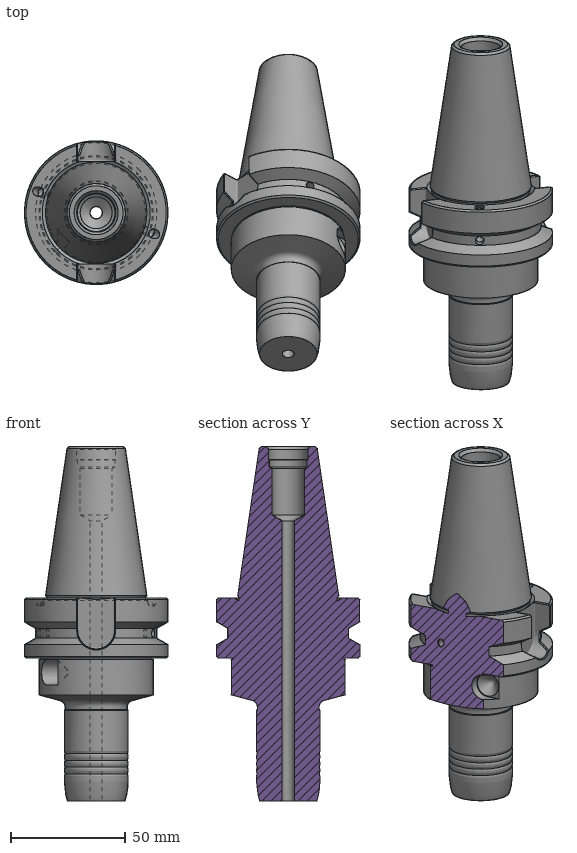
import cadquery as cq
import math

total_height = 155.4

gauge_z = 90.0
gauge_radius = 22.2
taper_slope = 7 / 24 / 2
taper_end_chamfer = 1.0

relief_radius = 21.6
relief_rim_radius = 23.6
relief_depth = 1.2

flange_radius = 31.47
flange_top_z = 89.0
flange_bottom_z = 62.6
flange_chamfer = 0.8
groove_radius = 26.5
groove_middle_z = 73.5
groove_mouth_width = 10.0
groove_slope_angle = math.radians(30)

body_radius = 25.0
body_bottom_z = 46.5
body_relief_radius = 24.5
body_relief_height = 0.6
shoulder_angle = math.radians(15)

nose_radius = 14.0
neck_radius = 13.7
neck_bottom_z = 39.8
neck_fillet = 2.8
nose_round_z = 8.5
nose_end_radius = 12.6

ring_count = 4
lowest_ring_z = 12.0
ring_pitch = 3.0
ring_width = 2.0
ring_depth = 0.3

drill_half_angle = math.radians(59)

mouth_radius = 9.6
mouth_depth = 1.4
counterbore_radius = 8.5
counterbore_depth = 5.7
lower_bore_radius = 8.2
lower_bore_depth = 9.0
thread_radius = 7.0
thread_depth = 30.0
through_radius = 2.6
seat_half_angle = math.radians(60)

slot_width = 16.2
slot_floor_y = 22.5
slot_bottom_z = 66.7
slot_floor_fillet = 0.5
slot_edge_chamfer = 0.5

pocket_radius = 5.6
pocket_tip_radius = 5.3
pocket_tip_half_angle = math.radians(45)
pocket_y = -13.0
pocket_z = 56.4
pocket_floor_x = -16.8

drilling_angle = 160
face_drilling_radius = 2.0
face_drilling_distance = 27.0
face_drilling_tilt = 35
face_drilling_depth = 3.0
groove_drilling_radius = 1.9
groove_drilling_depth = 3.9

clearance = 1.5
selection_margin = 0.2


def turned_blank():
    taper_end_radius = gauge_radius - taper_slope * (total_height - gauge_z)
    chamfer_start_radius = taper_end_radius + taper_slope * taper_end_chamfer
    groove_drop = (flange_radius - groove_radius) * math.tan(groove_slope_angle)
    groove_top_z = groove_middle_z + groove_mouth_width / 2
    groove_bottom_z = groove_middle_z - groove_mouth_width / 2

    corner_length = (body_radius - neck_radius) * math.tan(shoulder_angle)
    tangent_length = neck_fillet * math.tan((math.pi / 2 - shoulder_angle) / 2)
    neck_top_z = body_bottom_z - corner_length - tangent_length

    fillet_centre_radius = neck_radius + neck_fillet
    cone_end_radius = fillet_centre_radius - neck_fillet * math.sin(shoulder_angle)
    cone_end_z = neck_top_z + neck_fillet * math.cos(shoulder_angle)
    middle_angle = (math.pi / 2 - shoulder_angle) / 2 + shoulder_angle
    fillet_middle = (
        fillet_centre_radius - neck_fillet * math.sin(middle_angle),
        neck_top_z + neck_fillet * math.cos(middle_angle),
    )
    neck_step = nose_radius - neck_radius

    return (
        cq.Workplane("XZ")
        .moveTo(0, total_height)
        .lineTo(taper_end_radius - taper_end_chamfer, total_height)
        .lineTo(chamfer_start_radius, total_height - taper_end_chamfer)
        .lineTo(gauge_radius, gauge_z)
        .lineTo(relief_radius, flange_top_z)
        .lineTo(relief_radius, flange_top_z - relief_depth)
        .lineTo(relief_rim_radius, flange_top_z)
        .lineTo(flange_radius - flange_chamfer, flange_top_z)
        .lineTo(flange_radius, flange_top_z - flange_chamfer)
        .lineTo(flange_radius, groove_top_z)
        .lineTo(groove_radius, groove_top_z - groove_drop)
        .lineTo(groove_radius, groove_bottom_z + groove_drop)
        .lineTo(flange_radius, groove_bottom_z)
        .lineTo(flange_radius, flange_bottom_z + flange_chamfer)
        .lineTo(flange_radius - flange_chamfer, flange_bottom_z)
        .lineTo(body_relief_radius, flange_bottom_z)
        .lineTo(body_relief_radius, flange_bottom_z - body_relief_height)
        .lineTo(body_radius, flange_bottom_z - body_relief_height)
        .lineTo(body_radius, body_bottom_z)
        .lineTo(cone_end_radius, cone_end_z)
        .threePointArc(fillet_middle, (neck_radius, neck_top_z))
        .lineTo(neck_radius, neck_bottom_z + neck_step)
        .lineTo(nose_radius, neck_bottom_z)
        .lineTo(nose_radius, nose_round_z)
        .tangentArcPoint((nose_end_radius, 0), relative=False)
        .lineTo(0, 0)
        .close()
        .revolve(360, (0, 0, 0), (0, 1, 0))
    )


def nose_ring(middle_z):
    return (
        cq.Workplane("XZ")
        .moveTo(nose_radius, middle_z + ring_width / 2)
        .lineTo(nose_radius - ring_depth, middle_z)
        .lineTo(nose_radius, middle_z - ring_width / 2)
        .close()
        .revolve(360, (0, 0, 0), (0, 1, 0))
    )


def taper_bore():
    bore_step = counterbore_radius - lower_bore_radius
    seat_height = (lower_bore_radius - thread_radius) / math.tan(seat_half_angle)
    cone_height = (thread_radius - through_radius) / math.tan(drill_half_angle)
    cone_bottom_z = total_height - thread_depth - cone_height
    return (
        cq.Workplane("XZ")
        .moveTo(0, total_height)
        .lineTo(mouth_radius, total_height)
        .lineTo(counterbore_radius, total_height - mouth_depth)
        .lineTo(counterbore_radius, total_height - counterbore_depth)
        .lineTo(lower_bore_radius, total_height - counterbore_depth - bore_step)
        .lineTo(lower_bore_radius, total_height - lower_bore_depth)
        .lineTo(thread_radius, total_height - lower_bore_depth - seat_height)
        .lineTo(thread_radius, total_height - thread_depth)
        .lineTo(through_radius, cone_bottom_z)
        .lineTo(through_radius, 0)
        .lineTo(0, 0)
        .close()
        .revolve(360, (0, 0, 0), (0, 1, 0))
    )


def drive_slot():
    """Round-ended slot on the -Y side, open at the flange face."""
    half_width = slot_width / 2
    depth = flange_radius - slot_floor_y + clearance
    centre_z = slot_bottom_z + half_width
    open_z = flange_top_z + clearance
    return (
        cq.Workplane("XZ", origin=(0, -slot_floor_y, 0))
        .moveTo(-half_width, open_z)
        .lineTo(-half_width, centre_z)
        .threePointArc((0, slot_bottom_z), (half_width, centre_z))
        .lineTo(half_width, open_z)
        .close()
        .extrude(depth)
        .faces(">Y")
        .edges("not >Z")
        .fillet(slot_floor_fillet)
    )


def slot_mouth():
    """Wedge that bevels the slot edges on the flange face, on the -Y side."""
    half_width = slot_width / 2
    depth = flange_radius - slot_floor_y + clearance
    return (
        cq.Workplane("XZ", origin=(0, -slot_floor_y, 0))
        .moveTo(-half_width, flange_top_z - slot_edge_chamfer)
        .lineTo(half_width, flange_top_z - slot_edge_chamfer)
        .lineTo(half_width + 2 * slot_edge_chamfer, flange_top_z + slot_edge_chamfer)
        .lineTo(-half_width - 2 * slot_edge_chamfer, flange_top_z + slot_edge_chamfer)
        .close()
        .extrude(depth)
    )


def cut_drive_slots(blank):
    """Cut both slots and break their edges on the flange rim and the flange face."""
    slotted = blank
    for turn in (0, 180):
        slotted = slotted.cut(drive_slot().rotate((0, 0, 0), (0, 0, 1), turn))
    reach = slot_width / 2 + selection_margin
    for side in (-1, 1):
        inner_y = side * (slot_floor_y + 2 * slot_floor_fillet)
        outer_y = side * (flange_radius + clearance)
        rim_box = cq.selectors.BoxSelector(
            (-reach, inner_y, slot_bottom_z - clearance),
            (reach, outer_y, flange_top_z - selection_margin),
        )
        slotted = slotted.edges(rim_box).chamfer(slot_edge_chamfer)
    for turn in (0, 180):
        slotted = slotted.cut(slot_mouth().rotate((0, 0, 0), (0, 0, 1), turn))
    return slotted


def screw_pocket():
    """Drilled hole along X from the -X side, with a flat run-out towards -Y."""
    length = flange_radius + pocket_floor_x
    tip_depth = pocket_tip_radius / math.tan(pocket_tip_half_angle)
    drilled = (
        cq.Workplane("XY")
        .moveTo(0, -tip_depth)
        .lineTo(pocket_tip_radius, 0)
        .lineTo(pocket_radius, 0)
        .lineTo(pocket_radius, length)
        .lineTo(0, length)
        .close()
        .revolve(360, (0, 0, 0), (0, 1, 0))
        .rotate((0, 0, 0), (0, 0, 1), 90)
        .translate((pocket_floor_x, pocket_y, pocket_z))
    )
    run_out = cq.Workplane("XY").box(length, body_radius, 2 * pocket_radius, centered=(False, False, True))
    run_out = run_out.translate((pocket_floor_x - length, pocket_y - body_radius, pocket_z))
    return drilled.union(run_out)


def drilling(radius, depth):
    """Blind drilling down from the origin with a conical end, reaching above it to clear the surface."""
    return (
        cq.Workplane("XZ")
        .moveTo(0, radius)
        .lineTo(radius, radius)
        .lineTo(radius, -depth)
        .lineTo(0, -depth - radius / math.tan(drill_half_angle))
        .close()
        .revolve(360, (0, 0, 0), (0, 1, 0))
    )


def drilling_pair():
    """One drilling leaning inwards from the flange face, one pointing at the axis from the groove."""
    face_drilling = drilling(face_drilling_radius, face_drilling_depth)
    face_drilling = face_drilling.rotate((0, 0, 0), (0, 1, 0), face_drilling_tilt)
    face_drilling = face_drilling.translate((face_drilling_distance, 0, flange_top_z))
    groove_drilling = drilling(groove_drilling_radius, groove_drilling_depth)
    groove_drilling = groove_drilling.rotate((0, 0, 0), (0, 1, 0), 90)
    groove_drilling = groove_drilling.translate((groove_radius, 0, groove_middle_z))
    return face_drilling.union(groove_drilling)


result = cut_drive_slots(turned_blank()).cut(taper_bore())
for ring in range(ring_count):
    result = result.cut(nose_ring(lowest_ring_z + ring * ring_pitch))
for turn in (0, 180):
    result = result.cut(drilling_pair().rotate((0, 0, 0), (0, 0, 1), drilling_angle + turn))
result = result.cut(screw_pocket())